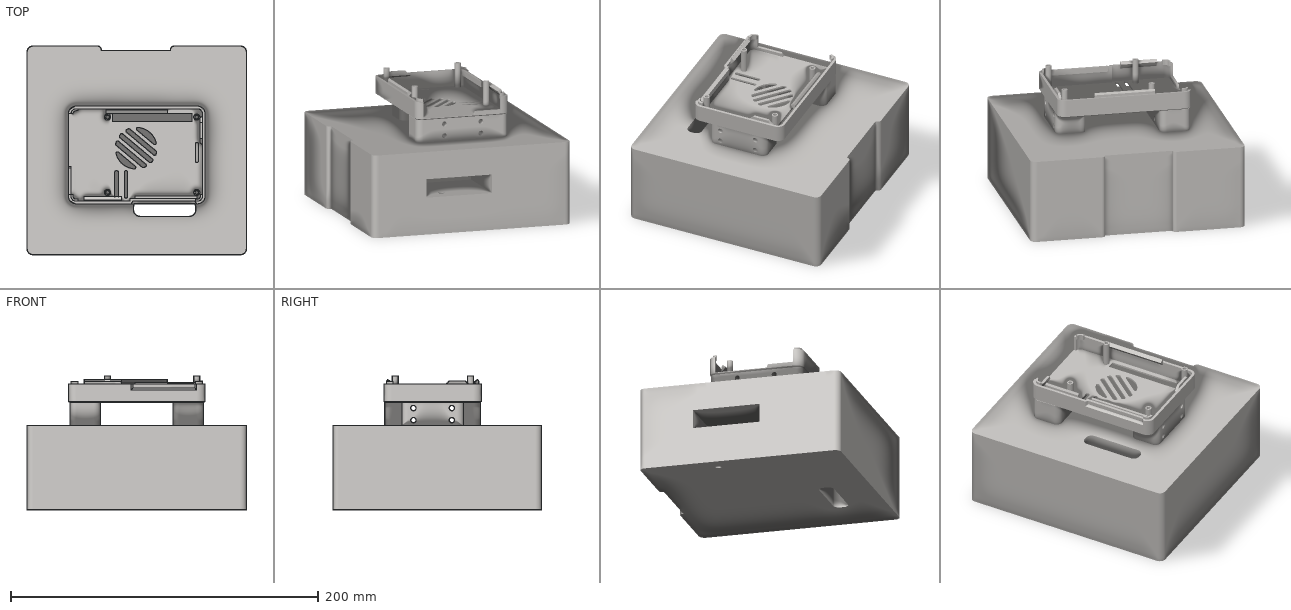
import cadquery as cq

BASE_X = 143.0
BASE_Y = 136.0
BASE_Z = 55.0
CORNER_R = 4.0

NOTCH_CENTER_X = -0.6
NOTCH_WIDTH = 44.9
NOTCH_DEPTH = 2.9
NOTCH_R = 2.6

SLOT_CENTER = (18.2, -37.9)
SLOT_LENGTH = 40.3
SLOT_WIDTH = 10.0
SLOT_R = 4.0

POCKET_CENTER_Y = 8.7
POCKET_WIDTH = 45.2
POCKET_FLOOR_Z = 24.6
POCKET_HEIGHT = 12.3
POCKET_DEPTH = 42.9
DRAIN_INSET = 11.0
DRAIN_Y = 17.5
DRAIN_D = 4.0

TRAY_CENTER_Y = -3.0
TRAY_X = 89.1
TRAY_Y = 63.6
TRAY_R = 5.1
FLOOR_T = 1.1
RIM_Z = 82.1
WALL_T = 1.7
EDGE_INSET = 1.0
EDGE_HEIGHT = 0.7

LEG_HEIGHT = 15.0
LEG_WIDTH = 20.0
WEST_LEG_Y = 62.6
EAST_LEG_Y = 40.0
LEG_OUTER_X = TRAY_X / 2 - EDGE_INSET
LEG_HOLE_D = 3.3
LEG_HOLE_PITCH_Y = 25.0
LEG_HOLE_PITCH_Z = 7.9
LEG_HOLE_LOW_Z = 3.5

TRAY_BOTTOM = BASE_Z + LEG_HEIGHT
FLOOR_Z = TRAY_BOTTOM + FLOOR_T
EAST_FACE = TRAY_X / 2
WEST_FACE = -TRAY_X / 2
NORTH_FACE = TRAY_CENTER_Y + TRAY_Y / 2
SOUTH_FACE = TRAY_CENTER_Y - TRAY_Y / 2

OPENING_SOUTH = -28.7
OPENING_NORTH = 24.2
SILL_NORTH = -10.6
SILL_TOP = 73.5
SILL_SLOPE = 1.0

LIP_T = 1.3
LIP_BOTTOM = 80.4
LIP_TOP = 83.8
LIP_REACH_X = 6.5
LIP_REACH_Y = 6.0

POST_CENTER = (10.0, -2.9)
POST_PITCH_X = 58.0
POST_PITCH_Y = 49.0
POST_D = 4.0
POST_HOLE_D = 2.5
POST_TOP = 87.4

HOOK_TOP = 85.0
HOOK_ROOT_Z = 79.8
HOOK_SHOULDER_Z = 83.7
HOOK_TIP_Z = 83.4
HOOK_RIDGE_DEPTH = 0.9
HOOK_TIP_DEPTH = 3.0
NORTH_HOOK_X = (-20.0, 20.0)
SOUTH_HOOK_X = (-34.3, -10.0)
END_HOOK_CENTER_Y = 13.0
END_HOOK_TOP_LENGTH = 10.3
END_HOOK_BOTTOM_Z = 80.0
END_HOOK_TOP = 84.1
END_HOOK_BEVEL = 1.1
END_HOOK_DEPTH = 1.7

RECESS_X = (-3.7, 39.0)
BACKING_X = (-4.3, 39.3)
RECESS_Z = 78.2
RECESS_BEVEL = 1.1
BACKING_T = 1.7
LEDGE_T = 1.7
LEDGE_X = (-1.1, 39.3)
LEDGE_Z = 79.4
LEDGE_TOP = 83.0

GRILLE_CENTER = (-0.5, 1.5)
GRILLE_R = 13.6
GRILLE_ANGLE = -40.0
GRILLE_PITCH = 5.5
GRILLE_SLOT = 3.0
GRILLE_COUNT = 5
GRILLE_END_R = 1.0

HEADER_X = (-15.7, 35.9)
HEADER_Y = (18.9, 24.2)
FLOOR_SLOTS = [
    (-13.2, -31.2, -13.2, 2.6),
    (-7.0, -31.2, -13.2, 2.1),
    (39.2, -7.9, 5.1, 2.1),
]


def block(x0, x1, y0, y1, z0, z1):
    """Box between opposite corners."""
    return cq.Workplane("XY").box(x1 - x0, y1 - y0, z1 - z0, centered=False).translate((x0, y0, z0))


def rounded_block(center, length, width, radius, z0, z1):
    """Box with rounded vertical edges."""
    body = cq.Workplane("XY", origin=(center[0], center[1], z0)).rect(length, width).extrude(z1 - z0)
    return body.edges("|Z").fillet(radius)


def tray_offset_block(inset, z0, z1):
    """Block with the tray outline moved inward by the inset."""
    return rounded_block((0, TRAY_CENTER_Y), TRAY_X - 2 * inset, TRAY_Y - 2 * inset, TRAY_R - inset, z0, z1)


def leg(side, length):
    """One leg under the tray, at the +X (side = 1) or -X (side = -1) end."""
    center = (side * (LEG_OUTER_X - LEG_WIDTH / 2), TRAY_CENTER_Y)
    return rounded_block(center, LEG_WIDTH, length, CORNER_R, BASE_Z, TRAY_BOTTOM)


def leg_holes():
    """Four holes along X through both legs."""
    middle_z = BASE_Z + LEG_HOLE_LOW_Z + LEG_HOLE_PITCH_Z / 2
    return (
        cq.Workplane("YZ", origin=(WEST_FACE, TRAY_CENTER_Y, middle_z))
        .rarray(LEG_HOLE_PITCH_Y, LEG_HOLE_PITCH_Z, 2, 2)
        .circle(LEG_HOLE_D / 2)
        .extrude(TRAY_X)
    )


def make_base():
    """Base box with its two legs."""
    body = rounded_block((0, 0), BASE_X, BASE_Y, CORNER_R, 0, BASE_Z)

    notch_west = NOTCH_CENTER_X - NOTCH_WIDTH / 2
    notch_east = NOTCH_CENTER_X + NOTCH_WIDTH / 2
    body = body.cut(block(notch_west, notch_east, BASE_Y / 2 - NOTCH_DEPTH, BASE_Y / 2, 0, BASE_Z))
    for x in (notch_west, notch_east):
        body = body.edges(cq.selectors.NearestToPointSelector((x, BASE_Y / 2, BASE_Z / 2))).fillet(NOTCH_R)

    body = body.cut(rounded_block(SLOT_CENTER, SLOT_LENGTH, SLOT_WIDTH, SLOT_R, 0, BASE_Z))

    pocket = block(
        -BASE_X / 2, -BASE_X / 2 + POCKET_DEPTH,
        POCKET_CENTER_Y - POCKET_WIDTH / 2, POCKET_CENTER_Y + POCKET_WIDTH / 2,
        POCKET_FLOOR_Z, POCKET_FLOOR_Z + POCKET_HEIGHT,
    )
    drain = cq.Workplane("XY").center(-BASE_X / 2 + DRAIN_INSET, DRAIN_Y).circle(DRAIN_D / 2)
    body = body.cut(pocket).cut(drain.extrude(POCKET_FLOOR_Z))

    body = body.union(leg(-1, WEST_LEG_Y)).union(leg(1, EAST_LEG_Y))
    return body.cut(leg_holes())


def tray_shell():
    """Floor and walls all round, with the bevelled bottom edge."""
    outer = tray_offset_block(0, TRAY_BOTTOM, RIM_Z).faces("<Z").chamfer(EDGE_HEIGHT, EDGE_INSET)
    return outer.cut(tray_offset_block(WALL_T, FLOOR_Z, RIM_Z))


def corner_lips():
    """Rounded lips against the inside of every corner but the +X, +Y one."""
    ring = tray_offset_block(WALL_T, LIP_BOTTOM, LIP_TOP)
    ring = ring.cut(tray_offset_block(WALL_T + LIP_T, LIP_BOTTOM, LIP_TOP))
    gap_x = TRAY_X / 2 - LIP_REACH_X
    gap_y = TRAY_Y / 2 - LIP_REACH_Y
    gap_south = TRAY_CENTER_Y - gap_y
    gap_north = TRAY_CENTER_Y + gap_y
    ring = ring.cut(block(-gap_x, gap_x, SOUTH_FACE, NORTH_FACE, LIP_BOTTOM, LIP_TOP))
    ring = ring.cut(block(WEST_FACE, EAST_FACE, gap_south, gap_north, LIP_BOTTOM, LIP_TOP))
    return ring.cut(block(gap_x, EAST_FACE, gap_north, NORTH_FACE, LIP_BOTTOM, LIP_TOP))


def end_opening():
    """Opening in the -X wall, leaving the low sill with its sloped end."""
    outline = [
        (OPENING_SOUTH, LIP_TOP),
        (OPENING_SOUTH, SILL_TOP),
        (SILL_NORTH - SILL_SLOPE, SILL_TOP),
        (SILL_NORTH, FLOOR_Z),
        (OPENING_NORTH, FLOOR_Z),
        (OPENING_NORTH, LIP_TOP),
    ]
    return cq.Workplane("YZ", origin=(WEST_FACE, 0, 0)).polyline(outline).close().extrude(WALL_T + LIP_T)


def long_wall_hook(face_y, inward, span):
    """Snap hook on a long wall; inward is the Y direction into the tray."""
    profile = [
        (WALL_T, HOOK_ROOT_Z),
        (WALL_T, HOOK_SHOULDER_Z),
        (WALL_T + HOOK_RIDGE_DEPTH, HOOK_TOP),
        (WALL_T + HOOK_TIP_DEPTH, HOOK_TIP_Z),
    ]
    points = [(face_y + inward * depth, z) for depth, z in profile]
    return cq.Workplane("YZ", origin=(span[0], 0, 0)).polyline(points).close().extrude(span[1] - span[0])


def end_hook():
    """Snap hook on the +X wall, with 45 degree ends and a bevelled underside."""
    height = END_HOOK_TOP - END_HOOK_BOTTOM_Z
    inner = EAST_FACE - WALL_T
    section = [
        (inner, END_HOOK_BOTTOM_Z),
        (inner - END_HOOK_DEPTH, END_HOOK_BOTTOM_Z + END_HOOK_BEVEL),
        (inner - END_HOOK_DEPTH, END_HOOK_TOP),
        (inner, END_HOOK_TOP),
    ]
    half_top = END_HOOK_TOP_LENGTH / 2
    half_bottom = half_top + height
    side = [
        (END_HOOK_CENTER_Y - half_bottom, END_HOOK_BOTTOM_Z),
        (END_HOOK_CENTER_Y + half_bottom, END_HOOK_BOTTOM_Z),
        (END_HOOK_CENTER_Y + half_top, END_HOOK_TOP),
        (END_HOOK_CENTER_Y - half_top, END_HOOK_TOP),
    ]
    start_y = END_HOOK_CENTER_Y + half_bottom
    bar = cq.Workplane("XZ", origin=(0, start_y, 0)).polyline(section).close().extrude(2 * half_bottom)
    return bar.intersect(cq.Workplane("YZ").polyline(side).close().extrude(EAST_FACE))


def recess_backing():
    """Inner wall behind the recess and the raised ledge along it."""
    back = SOUTH_FACE + WALL_T
    wall = block(*BACKING_X, back, back + BACKING_T, FLOOR_Z, RIM_Z)
    ledge_face = back + BACKING_T
    ledge = block(*LEDGE_X, ledge_face, ledge_face + LEDGE_T, LEDGE_Z, LEDGE_TOP)
    return wall.union(ledge)


def recess_cut():
    """Recess through the -Y wall skin, open at the rim, narrowing inward."""
    def outline(plane_y, inset):
        west = RECESS_X[0] + inset
        east = RECESS_X[1] - inset
        bottom = RECESS_Z + inset
        points = [(west, bottom), (east, bottom), (east, RIM_Z), (west, RIM_Z)]
        return cq.Wire.makePolygon([cq.Vector(x, plane_y, z) for x, z in points], close=True)

    wires = [outline(SOUTH_FACE, 0), outline(SOUTH_FACE + WALL_T, RECESS_BEVEL)]
    return cq.Workplane(cq.Solid.makeLoft(wires, True))


def post_cylinders(diameter):
    """Four cylinders at the post places, from the floor to the post tops."""
    return (
        cq.Workplane("XY", origin=(POST_CENTER[0], POST_CENTER[1], FLOOR_Z))
        .rarray(POST_PITCH_X, POST_PITCH_Y, 2, 2)
        .circle(diameter / 2)
        .extrude(POST_TOP - FLOOR_Z)
    )


def grille():
    """Slanted slots with rounded ends, bounded by a circle."""
    disc = cq.Workplane("XY").circle(GRILLE_R).extrude(FLOOR_T)
    end_width = 2 * GRILLE_R
    slots = cq.Workplane("XY")
    for index in range(GRILLE_COUNT):
        offset = (index - (GRILLE_COUNT - 1) / 2) * GRILLE_PITCH
        low = offset - GRILLE_SLOT / 2
        high = offset + GRILLE_SLOT / 2
        if index == 0:
            low = -end_width
        if index == GRILLE_COUNT - 1:
            high = end_width
        strip = block(-end_width, end_width, low, high, 0, FLOOR_T)
        slots = slots.add(disc.intersect(strip).edges("|Z").fillet(GRILLE_END_R))
    slots = slots.combine().rotate((0, 0, 0), (0, 0, 1), GRILLE_ANGLE)
    return slots.translate((GRILLE_CENTER[0], GRILLE_CENTER[1], TRAY_BOTTOM))


def floor_slot(x, south, north, width):
    """Round-ended slot along Y through the tray floor."""
    return (
        cq.Workplane("XY", origin=(x, (south + north) / 2, TRAY_BOTTOM))
        .slot2D(north - south, width, 90)
        .extrude(FLOOR_T)
    )


def make_tray():
    """Tray that rests on the legs."""
    body = tray_shell().union(corner_lips()).cut(end_opening())
    body = body.union(recess_backing()).cut(recess_cut())
    body = body.union(long_wall_hook(NORTH_FACE, -1, NORTH_HOOK_X))
    body = body.union(long_wall_hook(SOUTH_FACE, 1, SOUTH_HOOK_X))
    body = body.union(end_hook())
    body = body.union(post_cylinders(POST_D)).cut(post_cylinders(POST_HOLE_D))
    body = body.cut(grille())
    for slot in FLOOR_SLOTS:
        body = body.cut(floor_slot(*slot))
    return body.cut(block(*HEADER_X, *HEADER_Y, TRAY_BOTTOM, FLOOR_Z))


base = make_base()
tray = make_tray()
result = cq.Compound.makeCompound([base.solids().val(), tray.solids().val()])